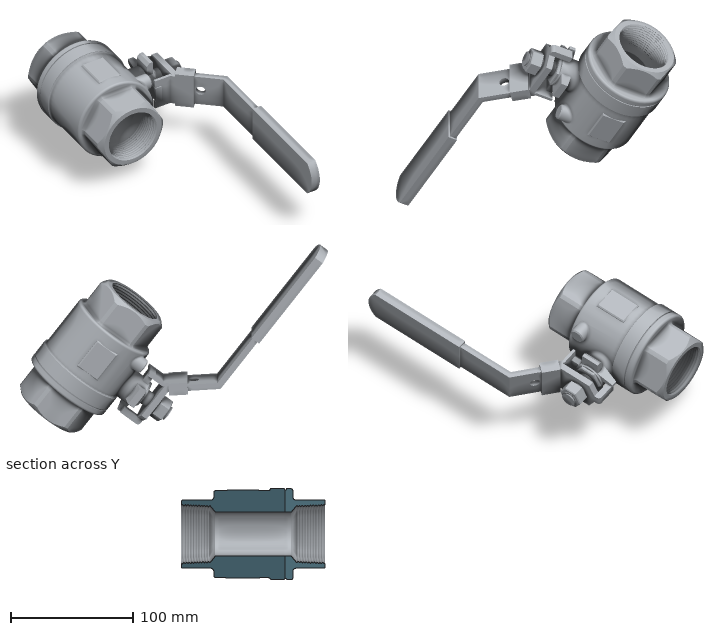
import cadquery as cq
import math


CAP_FACE = -58.0
BODY_FACE = 60.1
HEX_LENGTH = 26.5
JOINT_X = -24.7
COLLAR_END = -12.5
CAP_SHOULDER = CAP_FACE + HEX_LENGTH
BODY_SHOULDER = BODY_FACE - HEX_LENGTH

COLLAR_RADIUS = 37.49
BARREL_RADIUS = 36.0
HEX_FLATS = 56.2
HEX_CORNER_RADIUS = 31.5
HEX_FACE_RADIUS = 27.2
RIM_FILLET = 2.0
HEX_BASE_FILLET = 2.2
STEP_FILLET = 1.2
JOINT_GROOVE_WIDTH = 1.2
JOINT_GROOVE_DEPTH = 1.0

BORE_RADIUS = 17.8
THREAD_PITCH = 2.2
THREAD_TURNS = 11
THREAD_DEPTH = 1.2
THREAD_MOUTH_RADIUS = 23.0
THREAD_END_RADIUS = 22.0
BORE_CONE_LENGTH = 3.5

PAD_LENGTH = 27.7
PAD_WIDTH = 20.8
PAD_X = 9.7
PAD_RISE = 0.2
PAD_CHAMFER = 1.0
PAD_HEIGHT = BARREL_RADIUS + PAD_RISE

NECK_RADIUS = 13.0
NECK_TOP = 52.0
BOSS_RADIUS = 6.5
BOSS_X = 24.2
BOSS_Z = 19.5
BOSS_TOP = 36.4
BOSS_CHAMFER = 1.0
CAST_FILLET = 1.2

WING_TOP = 50.5
WING_BOTTOM = 44.8
SIDE_WING_REACH = 22.5
SIDE_WING_WIDTH = 15.8
SIDE_WING_CHAMFER = 2.7
SIDE_WING_ROOT_BOTTOM = 42.3
LATCH_WING_REACH = 22.3
LATCH_WING_WIDTH = 13.9
LATCH_WING_CHAMFER = 1.0
STOP_WING_REACH = 23.3
STOP_WING_INNER_Z = 4.5
STOP_WING_TIP_Z = 7.5
STOP_WING_ROOT_Z = 11.0
STOP_WING_TIP_BOTTOM = 45.5
STOP_WING_ROOT_X = 7.5
STOP_WING_ROOT_BOTTOM = 41.0

STEM_RADIUS = 6.5
STEM_TOP = 79.7
STEM_BOTTOM = 39.5
STEM_NECK_RADIUS = 5.0
STEM_NECK_Y = 77.7
GLAND_FLATS = 22.3
GLAND_TOP = 54.2
GLAND_CHAMFER = 0.7

LEVER_THICKNESS = 5.2
LEVER_WIDTH = 27.7
LEVER_LOW_Y = 63.5
LEVER_HIGH_Y = 96.3
LEVER_SLOPE = 49.3
LEVER_LOW_BEND_X = 19.0
LEVER_END_X = 180.6
HOOK_X = -19.3
HOOK_WIDTH = 8.2
HOOK_BOTTOM = 47.5
HOOK_BEND_RADIUS = 3.0
TAPER_START_X = -16.5
TAPER_END_X = -11.1
LOCK_HOLE_RADIUS = 4.08
LOCK_HOLE_Y = 81.0

NUT_FLATS = 18.3
NUT_BOTTOM = 68.0
NUT_TOP = 77.5
NUT_CHAMFER = 0.7
NUT_COLLAR_RADIUS = 7.5

SLIDE_SHEET = 2.5
SLIDE_LENGTH = 15.5
SLIDE_WIDTH = 32.2
SLIDE_CENTRE_Y = 71.0
TONGUE_X = 20.3
TONGUE_BOTTOM = 44.5

GRIP_START = 96.3
GRIP_END = 189.5
GRIP_TIP_LENGTH = 7.2
GRIP_WIDTH = 31.0
GRIP_TOP = 100.34
GRIP_BOTTOM = 92.5

SLOPE_RISE = math.tan(math.radians(LEVER_SLOPE))
LEVER_HIGH_BEND_X = LEVER_LOW_BEND_X + (LEVER_HIGH_Y - LEVER_LOW_Y) / SLOPE_RISE
LEVER_UNDERSIDE = LEVER_LOW_Y - LEVER_THICKNESS / 2
LEVER_TOPSIDE = LEVER_LOW_Y + LEVER_THICKNESS / 2


def slope_x(y):
    """X on the centre line of the sloping lever stretch at height y."""
    return LEVER_LOW_BEND_X + (y - LEVER_LOW_Y) / SLOPE_RISE


def y_cylinder(radius, y_from, y_to, x=0, z=0):
    """Cylinder along Y."""
    return cq.Workplane("XZ", origin=(x, y_from, z)).circle(radius).extrude(y_from - y_to)


def y_hexagon(flats, y_from, y_to):
    """Hexagonal prism along Y with corners on X."""
    corners = flats / math.cos(math.pi / 6)
    return cq.Workplane("XZ", origin=(0, y_from, 0)).polygon(6, corners).extrude(y_from - y_to)


def box(x, y, z):
    """Box between the given (low, high) limits on each axis."""
    size = [high - low for low, high in (x, y, z)]
    return cq.Workplane("XY").box(*size, centered=False).translate((x[0], y[0], z[0]))


def revolve_x(points):
    """Solid of revolution around X from (x, radius) points."""
    return cq.Workplane("XY").polyline(points).close().revolve(360, (0, 0, 0), (1, 0, 0))


def strip(path, thickness, width):
    """Bent flat strip: a path in XY thickened with mitred bends, centred on Z = 0."""
    headings = [math.atan2(b[1] - a[1], b[0] - a[0]) for a, b in zip(path, path[1:])]
    upper, lower = [], []
    for (x, y), before, after in zip(path, headings[:1] + headings, headings + headings[-1:]):
        normal = (before + after) / 2 + math.pi / 2
        reach = thickness / 2 / math.cos((after - before) / 2)
        dx = reach * math.cos(normal)
        dy = reach * math.sin(normal)
        upper.append((x + dx, y + dy))
        lower.append((x - dx, y - dy))
    outline = upper + lower[::-1]
    return cq.Workplane("XY").polyline(outline).close().extrude(width / 2, both=True)


def hex_end(face_x, inward):
    """Hexagonal pipe end with flats on Z, trimmed corners and a 45 degree chamfered mouth."""
    corners = HEX_FLATS / math.cos(math.pi / 6)
    prism = cq.Workplane("YZ", origin=(face_x, 0, 0)).polygon(6, corners).extrude(inward * HEX_LENGTH)
    chamfer_x = face_x + inward * (HEX_CORNER_RADIUS - HEX_FACE_RADIUS)
    base_x = face_x + inward * HEX_LENGTH
    envelope = revolve_x([
        (face_x, 0),
        (face_x, HEX_FACE_RADIUS),
        (chamfer_x, HEX_CORNER_RADIUS),
        (base_x, HEX_CORNER_RADIUS),
        (base_x, 0),
    ])
    return prism.intersect(envelope)


def fillet_hex_base(solid, shoulder_x):
    """Round the inner corner where a hexagon end meets the flat shoulder at shoulder_x."""
    def on_base(edge):
        limits = edge.BoundingBox()
        on_shoulder = abs(limits.xmin - shoulder_x) + abs(limits.xmax - shoulder_x) < 0.02
        return on_shoulder and limits.ylen < HEX_FLATS
    return solid.newObject([e for e in solid.edges().vals() if on_base(e)]).fillet(HEX_BASE_FILLET)


def threaded_mouth(face_x, inward):
    """Tapered mouth with ring-shaped thread grooves, ending in a cone down to the bore."""
    taper = (THREAD_MOUTH_RADIUS - THREAD_END_RADIUS) / THREAD_TURNS
    points = [(face_x, 0), (face_x, THREAD_MOUTH_RADIUS)]
    for turn in range(THREAD_TURNS):
        groove_x = face_x + inward * (turn + 0.5) * THREAD_PITCH
        crest_x = face_x + inward * (turn + 1) * THREAD_PITCH
        crest_radius = THREAD_MOUTH_RADIUS - taper * (turn + 1)
        points.append((groove_x, crest_radius + THREAD_DEPTH))
        points.append((crest_x, crest_radius))
    cone_end_x = face_x + inward * (THREAD_TURNS * THREAD_PITCH + BORE_CONE_LENGTH)
    points += [(cone_end_x, BORE_RADIUS), (cone_end_x, 0)]
    return revolve_x(points)


def x_disc(radius, x_from, x_to):
    """Cylinder along X."""
    return cq.Workplane("YZ", origin=(x_from, 0, 0)).circle(radius).extrude(x_to - x_from)


def make_cap():
    rim = x_disc(COLLAR_RADIUS, CAP_SHOULDER, JOINT_X - JOINT_GROOVE_WIDTH)
    rim = rim.faces("<X").edges().fillet(RIM_FILLET)
    seat = x_disc(COLLAR_RADIUS - JOINT_GROOVE_DEPTH, CAP_SHOULDER + RIM_FILLET, JOINT_X)
    cap = fillet_hex_base(rim.union(hex_end(CAP_FACE, 1)), CAP_SHOULDER).union(seat)
    cap = cap.cut(x_disc(BORE_RADIUS, CAP_FACE, JOINT_X))
    return cap.cut(threaded_mouth(CAP_FACE, 1))


def side_wing(profile):
    """Stop wing of constant width from a (Y, Z) profile."""
    return cq.Workplane("YZ").polyline(profile).close().extrude(SIDE_WING_WIDTH / 2, both=True)


def make_upper_wing():
    """Stop wing toward +Z with a chamfer under its tip."""
    return side_wing([
        (WING_TOP, 0),
        (WING_TOP, SIDE_WING_REACH),
        (WING_BOTTOM + SIDE_WING_CHAMFER, SIDE_WING_REACH),
        (WING_BOTTOM, SIDE_WING_REACH - SIDE_WING_CHAMFER),
        (WING_BOTTOM, 0),
    ])


def make_lower_wing():
    """Stop wing toward -Z that grows deeper toward the neck."""
    return side_wing([
        (WING_TOP, 0),
        (WING_TOP, -SIDE_WING_REACH),
        (WING_BOTTOM, -SIDE_WING_REACH),
        (SIDE_WING_ROOT_BOTTOM, -NECK_RADIUS),
        (SIDE_WING_ROOT_BOTTOM, 0),
    ])


def make_stop_wing():
    """Wedge toward -X that the lever hook rests against."""
    plan = [
        (0, STOP_WING_INNER_Z),
        (-STOP_WING_REACH, STOP_WING_INNER_Z),
        (-STOP_WING_REACH, STOP_WING_TIP_Z),
        (-STOP_WING_ROOT_X, STOP_WING_ROOT_Z),
        (0, STOP_WING_ROOT_Z),
    ]
    side = [
        (0, WING_TOP),
        (-STOP_WING_REACH, WING_TOP),
        (-STOP_WING_REACH, STOP_WING_TIP_BOTTOM),
        (-STOP_WING_ROOT_X, STOP_WING_ROOT_BOTTOM),
        (0, STOP_WING_ROOT_BOTTOM),
    ]
    plate = cq.Workplane("XZ").polyline(plan).close().extrude(-WING_TOP)
    return plate.intersect(cq.Workplane("XY").polyline(side).close().extrude(STOP_WING_ROOT_Z))


def make_latch_wing():
    """Wing toward +X that the tongue of the locking slide straddles."""
    half_width = LATCH_WING_WIDTH / 2
    wing = box((0, LATCH_WING_REACH), (WING_BOTTOM, WING_TOP), (-half_width, half_width))
    return wing.edges("|X and <Y").chamfer(LATCH_WING_CHAMFER)


def make_pad():
    """Flat pad on the +Z side of the barrel with bevelled edges."""
    half_length = PAD_LENGTH / 2
    half_width = PAD_WIDTH / 2
    pad = box((PAD_X - half_length, PAD_X + half_length), (-half_width, half_width), (0, PAD_HEIGHT))
    return pad.faces(">Z").edges().chamfer(PAD_CHAMFER)


def make_collar():
    """Raised collar at the joint, blended down to the barrel by a concave fillet."""
    blend_x = COLLAR_END + STEP_FILLET
    blend_radius = BARREL_RADIUS + STEP_FILLET
    arc_reach = STEP_FILLET * math.cos(math.pi / 4)
    return (
        cq.Workplane("XY")
        .moveTo(JOINT_X, 0)
        .lineTo(JOINT_X, COLLAR_RADIUS)
        .lineTo(COLLAR_END, COLLAR_RADIUS)
        .lineTo(COLLAR_END, blend_radius)
        .threePointArc((blend_x - arc_reach, blend_radius - arc_reach), (blend_x, BARREL_RADIUS))
        .lineTo(blend_x, 0)
        .close()
        .revolve(360, (0, 0, 0), (1, 0, 0))
    )


def add_upright(barrel, upright):
    """Join an upright along Y to the barrel and round the seam between them."""
    joined = barrel.union(upright)
    limits = upright.val().BoundingBox()
    seam_box = cq.selectors.BoxSelector(
        (limits.xmin, limits.ymin, limits.zmin),
        (limits.xmax, limits.ymax, limits.zmax),
    )
    return joined.edges(seam_box).edges("%BSPLINE").fillet(CAST_FILLET)


def make_body():
    body = x_disc(BARREL_RADIUS, JOINT_X, BODY_SHOULDER).faces(">X").edges().fillet(RIM_FILLET)
    body = add_upright(body, y_cylinder(NECK_RADIUS, 0, NECK_TOP))
    boss = y_cylinder(BOSS_RADIUS, 0, BOSS_TOP, BOSS_X, BOSS_Z).faces(">Y").edges().chamfer(BOSS_CHAMFER)
    for side_boss in (boss, boss.mirror("XY")):
        body = add_upright(body, side_boss)

    body = fillet_hex_base(body.union(hex_end(BODY_FACE, -1)), BODY_SHOULDER)
    pad = make_pad()
    wings = [make_upper_wing(), make_lower_wing(), make_stop_wing(), make_latch_wing()]
    for feature in [make_collar(), pad, pad.mirror("XY"), *wings]:
        body = body.union(feature)

    body = body.cut(x_disc(BORE_RADIUS, JOINT_X, BODY_FACE)).cut(threaded_mouth(BODY_FACE, -1))
    return body.cut(y_cylinder(STEM_RADIUS, STEM_BOTTOM, NECK_TOP))


def make_stem():
    """Stem with a hexagonal flange resting on the neck and a flared tip."""
    shank = y_cylinder(STEM_RADIUS, STEM_BOTTOM, STEM_NECK_Y)
    tip_profile = [
        (0, STEM_NECK_Y),
        (STEM_NECK_RADIUS, STEM_NECK_Y),
        (STEM_RADIUS, STEM_TOP),
        (0, STEM_TOP),
    ]
    tip = cq.Workplane("XY").polyline(tip_profile).close().revolve(360, (0, 0, 0), (0, 1, 0))
    flange = y_hexagon(GLAND_FLATS, NECK_TOP, GLAND_TOP).faces(">Y").edges().chamfer(GLAND_CHAMFER)
    return shank.union(tip).union(flange)


def make_lever():
    path = [
        (HOOK_X, HOOK_BOTTOM),
        (HOOK_X, LEVER_LOW_Y),
        (LEVER_LOW_BEND_X, LEVER_LOW_Y),
        (LEVER_HIGH_BEND_X, LEVER_HIGH_Y),
        (LEVER_END_X, LEVER_HIGH_Y),
    ]
    bar = strip(path, LEVER_THICKNESS, LEVER_WIDTH)
    hook_corner = cq.selectors.NearestToPointSelector((HOOK_X - LEVER_THICKNESS / 2, LEVER_TOPSIDE, 0))
    bar = bar.edges("|Z").edges(hook_corner).fillet(HOOK_BEND_RADIUS)

    hook_tip_x = HOOK_X - LEVER_THICKNESS
    half_hook = HOOK_WIDTH / 2
    half_lever = LEVER_WIDTH / 2
    plan = [
        (hook_tip_x, half_hook),
        (TAPER_START_X, half_hook),
        (TAPER_END_X, half_lever),
        (LEVER_END_X, half_lever),
        (LEVER_END_X, -half_lever),
        (TAPER_END_X, -half_lever),
        (TAPER_START_X, -half_hook),
        (hook_tip_x, -half_hook),
    ]
    bar = bar.intersect(cq.Workplane("XZ").polyline(plan).close().extrude(-GRIP_TOP))

    lock_hole = cq.Workplane("YZ").circle(LOCK_HOLE_RADIUS).extrude(LEVER_THICKNESS, both=True)
    lock_hole = lock_hole.rotate((0, 0, 0), (0, 0, 1), LEVER_SLOPE - 90)
    bar = bar.cut(lock_hole.translate((slope_x(LOCK_HOLE_Y), LOCK_HOLE_Y, 0)))
    return bar.cut(y_cylinder(STEM_RADIUS, LEVER_UNDERSIDE, LEVER_TOPSIDE))


def make_nut():
    """Lever nut with a round bearing collar on its underside."""
    nut = y_hexagon(NUT_FLATS, NUT_BOTTOM, NUT_TOP).faces(">Y").edges().chamfer(NUT_CHAMFER)
    nut = nut.union(y_cylinder(NUT_COLLAR_RADIUS, LEVER_TOPSIDE, NUT_BOTTOM))
    return nut.cut(y_cylinder(STEM_RADIUS, LEVER_TOPSIDE, NUT_TOP))


def make_locking_slide(lever):
    """Sheet sleeve around the sloping lever stretch, with a tongue that straddles the latch wing."""
    sleeve = cq.Workplane("XY").box(SLIDE_LENGTH, LEVER_THICKNESS + 2 * SLIDE_SHEET, SLIDE_WIDTH)
    sleeve = sleeve.rotate((0, 0, 0), (0, 0, 1), LEVER_SLOPE)
    sleeve = sleeve.translate((slope_x(SLIDE_CENTRE_Y), SLIDE_CENTRE_Y, 0))

    slope = math.radians(LEVER_SLOPE)
    sheet_offset = (LEVER_THICKNESS + SLIDE_SHEET) / 2
    wall_x = slope_x(SLIDE_CENTRE_Y) + sheet_offset * math.sin(slope)
    wall_y = SLIDE_CENTRE_Y - sheet_offset * math.cos(slope)
    bend_y = wall_y - (wall_x - TONGUE_X) * SLOPE_RISE
    tongue_path = [(TONGUE_X, TONGUE_BOTTOM), (TONGUE_X, bend_y), (wall_x, wall_y)]
    tongue = strip(tongue_path, SLIDE_SHEET, LEVER_WIDTH)
    notch_x = (TONGUE_X - SLIDE_SHEET, TONGUE_X + SLIDE_SHEET)
    half_notch = LATCH_WING_WIDTH / 2
    tongue = tongue.cut(box(notch_x, (TONGUE_BOTTOM, WING_TOP), (-half_notch, half_notch)))
    return sleeve.union(tongue).cut(lever)


def make_grip():
    """Grip sleeve closed by an arched tip, with a pocket that holds the lever end."""
    half_width = GRIP_WIDTH / 2
    shoulder_x = GRIP_END - GRIP_TIP_LENGTH
    grip = (
        cq.Workplane("XZ", origin=(0, GRIP_BOTTOM, 0))
        .moveTo(GRIP_START, -half_width)
        .lineTo(shoulder_x, -half_width)
        .threePointArc((GRIP_END, 0), (shoulder_x, half_width))
        .lineTo(GRIP_START, half_width)
        .close()
        .extrude(GRIP_BOTTOM - GRIP_TOP)
    )
    pocket_path = [(GRIP_START, LEVER_HIGH_Y), (LEVER_END_X, LEVER_HIGH_Y)]
    return grip.cut(strip(pocket_path, LEVER_THICKNESS, LEVER_WIDTH))


cap = make_cap()
body = make_body()
stem = make_stem()
lever = make_lever()
nut = make_nut()
locking_slide = make_locking_slide(lever)
grip = make_grip()

result = cq.Compound.makeCompound([
    cap.val(),
    body.val(),
    stem.val(),
    lever.val(),
    nut.val(),
    locking_slide.val(),
    grip.val(),
])